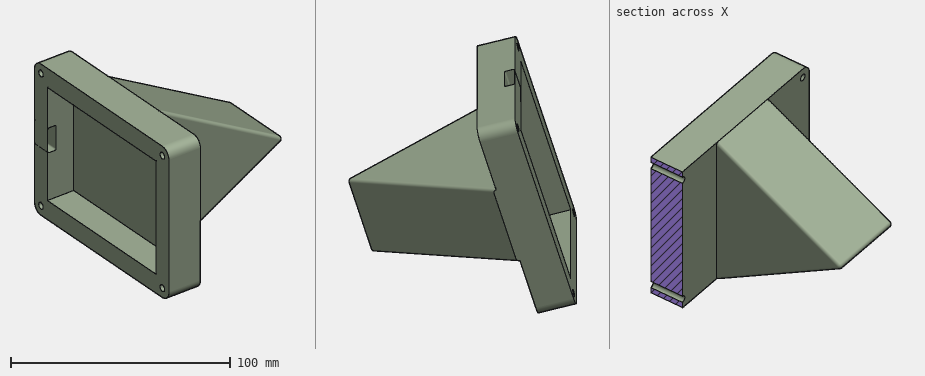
import cadquery as cq
import math

plate_width = 102.2
plate_height = 80.3
plate_depth = 18.0
corner_radius = 5.0

pocket_width = 82.5
pocket_height = 60.0
back_wall = 3.0
pocket_depth = plate_depth - back_wall

hole_diameter = 3.4
hole_spacing_x = plate_width - 2 * corner_radius
hole_spacing_z = plate_height - 2 * corner_radius

port_skin = 0.2
port_depth = 4.8
port_height = 13.2
port_center_z = 1.6
port_radius = 0.8

overall_depth = 88.2
wedge_width = 40.2
wedge_radius = 1.6
upper_slope = 29.0
lower_slope = 29.8

half_ridge_angle = math.radians((upper_slope + lower_slope) / 2)
ridge_y = overall_depth + wedge_radius * (1 / math.sin(half_ridge_angle) - 1)
wedge_length = ridge_y - plate_depth
ridge_z = plate_height / 2 - wedge_length * math.tan(math.radians(upper_slope))
lower_base_z = ridge_z - wedge_length * math.tan(math.radians(lower_slope))


def make_plate():
    """Rounded plate, extruded from the open face towards +Y."""
    return (
        cq.Workplane("XZ")
        .rect(plate_width, plate_height)
        .extrude(-plate_depth)
        .edges("|Y")
        .fillet(corner_radius)
    )


def make_wedge():
    """Triangular prism with rounded ridge and sides, trimmed level with the plate underside."""
    wedge = (
        cq.Workplane("YZ")
        .moveTo(plate_depth, plate_height / 2)
        .lineTo(ridge_y, ridge_z)
        .lineTo(plate_depth, lower_base_z)
        .close()
        .extrude(wedge_width / 2, both=True)
    )
    wedge = wedge.edges("not <Y").fillet(wedge_radius)
    envelope = cq.Workplane("XY").box(plate_width, 2 * overall_depth, plate_height)
    return wedge.intersect(envelope)


def make_pocket():
    return cq.Workplane("XZ").rect(pocket_width, pocket_height).extrude(-pocket_depth)


def make_holes():
    return (
        cq.Workplane("XZ")
        .rect(hole_spacing_x, hole_spacing_z, forConstruction=True)
        .vertices()
        .circle(hole_diameter / 2)
        .extrude(-plate_depth)
    )


def make_port():
    """Rounded rectangular opening from outside the -X face into the pocket."""
    wall = (plate_width - pocket_width) / 2
    return (
        cq.Workplane("YZ", origin=(-plate_width / 2, port_skin + port_depth / 2, port_center_z))
        .rect(port_depth, port_height)
        .extrude(wall)
        .edges("|X")
        .fillet(port_radius)
    )


result = (
    make_plate()
    .union(make_wedge())
    .cut(make_pocket())
    .cut(make_holes())
    .cut(make_port())
)